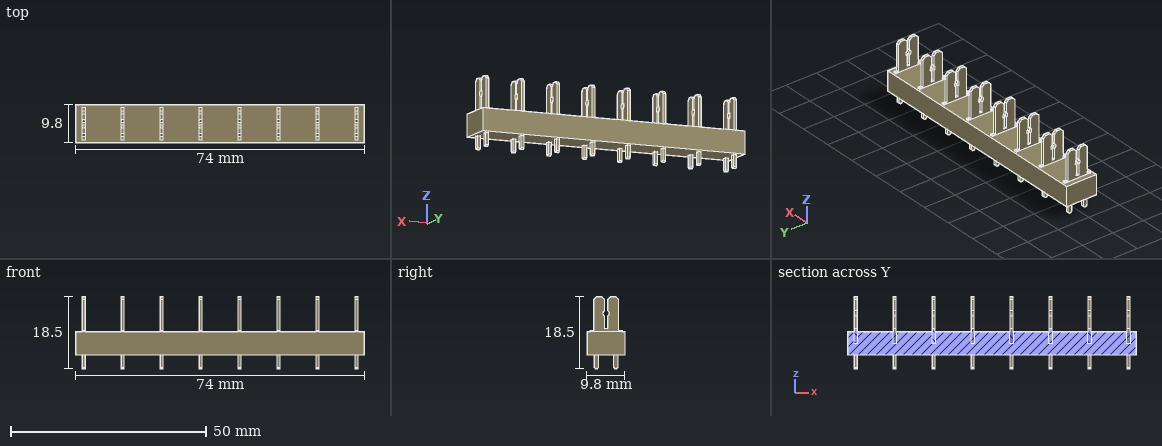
import cadquery as cq

housing_length = 74.0
housing_width = 9.8
housing_height = 6.1

contact_count = 8
contact_pitch = 10.0
contact_thickness = 0.8

shoulder_width = 8.3
shoulder_rise = 0.2
shoulder_bottom = housing_height / 2

blade_width = 6.45
blade_rise = 8.95
blade_top = housing_height + blade_rise
tip_chamfer = 0.75

slot_width = 0.75
slot_floor_rise = 0.8
relief_diameter = 1.55
relief_rise = 4.65

leg_spacing = 4.95
leg_width = 1.2
leg_drop = 3.5
leg_tip_chamfer = 0.4


def plate(width, bottom, top, y_center=0.0):
    """Flat upright plate of contact thickness, centred on X = 0."""
    height = top - bottom
    return (
        cq.Workplane("XY")
        .box(contact_thickness, width, height, centered=(True, True, False))
        .translate((0, y_center, bottom))
    )


def make_blade():
    """Blade split by the slot into two prongs with chamfered tips."""
    blade = plate(blade_width, housing_height, blade_top)
    slot = plate(slot_width, housing_height + slot_floor_rise, blade_top)
    relief = (
        cq.Workplane("YZ")
        .center(0, housing_height + relief_rise)
        .circle(relief_diameter / 2)
        .extrude(contact_thickness / 2, both=True)
    )
    prongs = blade.cut(slot).faces(">Z").edges("|X").chamfer(tip_chamfer)
    return prongs.cut(relief)


def make_leg(y_center):
    """Solder leg from the shoulder down through the housing, chamfered at its tip."""
    leg = plate(leg_width, -leg_drop, shoulder_bottom, y_center)
    return leg.faces("<Z").edges("|X").chamfer(leg_tip_chamfer)


def make_contact():
    """One-piece contact: blade, shoulder and two legs."""
    contact = plate(shoulder_width, shoulder_bottom, housing_height + shoulder_rise)
    contact = contact.union(make_blade())
    for side in (-1, 1):
        contact = contact.union(make_leg(side * leg_spacing / 2))
    return contact


def make_housing(contacts):
    """Plain bar with a seat matching every contact."""
    housing = cq.Workplane("XY").box(
        housing_length, housing_width, housing_height, centered=(True, True, False)
    )
    for contact in contacts:
        housing = housing.cut(contact)
    return housing


first_contact_x = -contact_pitch * (contact_count - 1) / 2
contacts = []
for index in range(contact_count):
    contact_x = first_contact_x + index * contact_pitch
    contacts.append(make_contact().translate((contact_x, 0, 0)))

housing = make_housing(contacts)

result = cq.Compound.makeCompound([housing.val(), *[contact.val() for contact in contacts]])